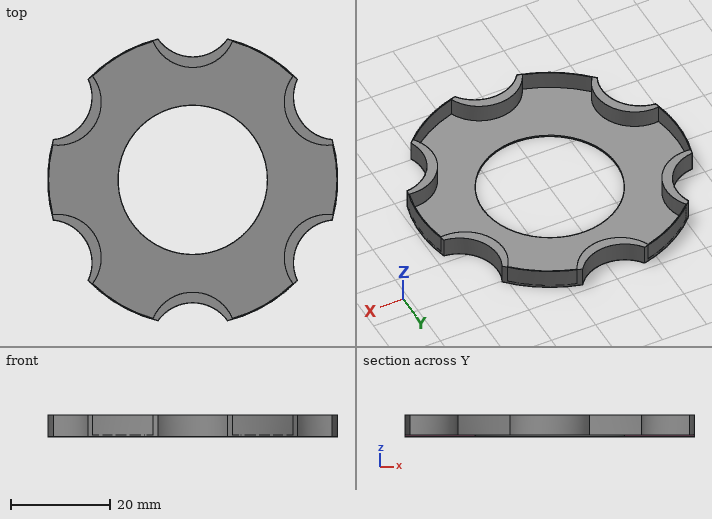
import cadquery as cq

outer_radius = 29.2
wall_thickness = 0.2
total_height = 4.4
floor_thickness = 0.4
bore_diameter = 30.0

notch_count = 6
notch_radius = 8.6
notch_center_distance = 33.35

crescent_radius = 8.7
crescent_center_distance = 31.3

pocket_radius = outer_radius - wall_thickness
pocket_depth = total_height - floor_thickness

full_turn = 360.0
first_notch_angle = full_turn / notch_count / 2


def cylinders_around_rim(radius, center_distance):
    """Full-height cylinders, one at each notch position."""
    return (
        cq.Workplane("XY")
        .polarArray(center_distance, first_notch_angle, full_turn, notch_count)
        .circle(radius)
        .extrude(total_height)
    )


def make_disc():
    """Flat disc with the central bore."""
    return (
        cq.Workplane("XY")
        .circle(outer_radius)
        .circle(bore_diameter / 2)
        .extrude(total_height)
    )


def make_pocket():
    """Round pocket above the floor, minus the crescents that stay standing."""
    round_pocket = (
        cq.Workplane("XY")
        .workplane(offset=floor_thickness)
        .circle(pocket_radius)
        .extrude(pocket_depth)
    )
    return round_pocket.cut(cylinders_around_rim(crescent_radius, crescent_center_distance))


def make_notches():
    """Cutters for the finger notches."""
    return cylinders_around_rim(notch_radius, notch_center_distance)


result = make_disc().cut(make_pocket()).cut(make_notches())